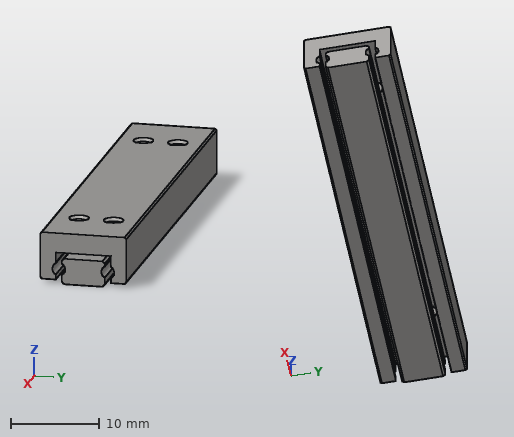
import cadquery as cq

length = 45.0
total_height = 6.0

carriage_width = 10.0
carriage_height = 5.5
carriage_chamfer = 0.2
channel_width = 6.4
roof_thickness = 2.3

rail_width = 5.0
rail_height = 3.0
rail_chamfer = 0.25

track_diameter = 1.5
track_z = 1.75
track_y = (channel_width + rail_width) / 4

hole_diameter = 1.58
countersink_diameter = 2.25
countersink_angle = 90
hole_spacing_x = 32.0
hole_spacing_y = 4.0


def make_bar(width, height, bottom_z):
    """Full-length rectangular bar, centred in X and Y."""
    return (
        cq.Workplane("XY")
        .workplane(offset=bottom_z)
        .box(length, width, height, centered=(True, True, False))
    )


def make_ball_tracks():
    """Two cylinders that cut matching grooves in the rail and the carriage."""
    return (
        cq.Workplane("YZ")
        .workplane(offset=-length / 2)
        .pushPoints([(-track_y, track_z), (track_y, track_z)])
        .circle(track_diameter / 2)
        .extrude(length)
    )


def make_carriage():
    bottom_z = total_height - carriage_height
    channel_height = carriage_height - roof_thickness
    body = make_bar(carriage_width, carriage_height, bottom_z)
    body = body.edges("|X").chamfer(carriage_chamfer)
    body = body.cut(make_bar(channel_width, channel_height, bottom_z))
    body = body.cut(make_ball_tracks())
    return (
        body.faces(">Z")
        .workplane(origin=(0, 0, total_height))
        .rarray(hole_spacing_x, hole_spacing_y, 2, 2)
        .cskHole(hole_diameter, countersink_diameter, countersink_angle, depth=roof_thickness)
    )


def make_rail():
    body = make_bar(rail_width, rail_height, 0)
    body = body.edges("|X").chamfer(rail_chamfer)
    return body.cut(make_ball_tracks())


carriage = make_carriage()
rail = make_rail()

result = cq.Compound.makeCompound([carriage.val(), rail.val()])